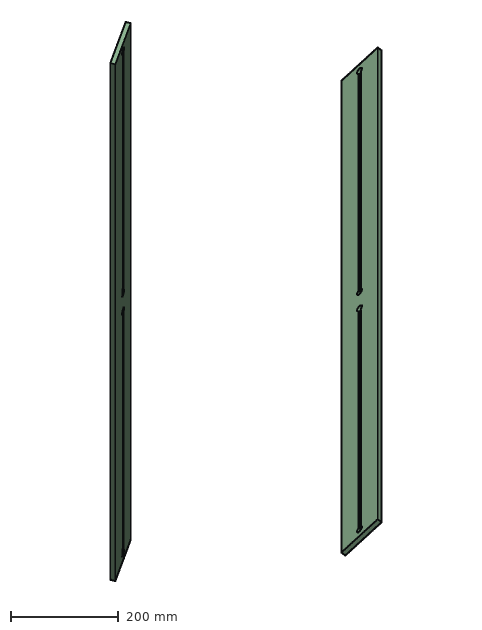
import cadquery as cq

thickness = 10.0
width = 100.0
length = 1590.0

hole_diameter = 14.0
end_hole_margin = 22.5
middle_hole_spacing = 55.0

groove_width = 6.0
groove_depth = 2.0

outer_hole_height = length / 2 - end_hole_margin
inner_hole_height = middle_hole_spacing / 2
groove_length = outer_hole_height - inner_hole_height
groove_centre_height = (outer_hole_height + inner_hole_height) / 2


def make_bar():
    return cq.Workplane("XY").box(thickness, width, length)


def drill_holes(bar):
    """Drill the outer and inner hole pairs straight through the thickness."""
    hole_centres = []
    for height in (outer_hole_height, inner_hole_height):
        hole_centres.append((0, height))
        hole_centres.append((0, -height))
    back_face = bar.faces(">X").workplane(origin=(0, 0, 0))
    return back_face.pushPoints(hole_centres).hole(hole_diameter)


def cut_grooves(bar):
    """Cut the upper and lower grooves, running from hole centre to hole centre."""
    groove_floor = cq.Workplane("YZ").workplane(offset=thickness / 2 - groove_depth)
    groove_centres = [(0, groove_centre_height), (0, -groove_centre_height)]
    grooves = groove_floor.pushPoints(groove_centres).rect(groove_width, groove_length).extrude(groove_depth)
    return bar.cut(grooves)


result = cut_grooves(drill_holes(make_bar()))